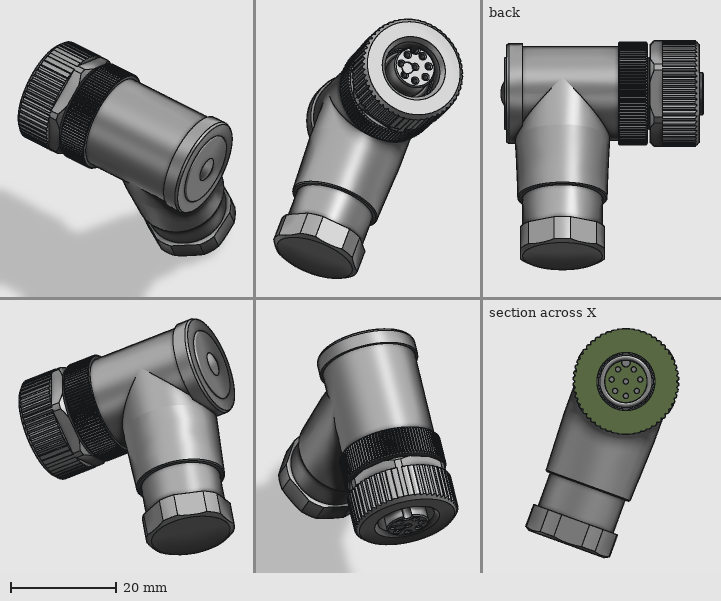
import cadquery as cq
import math


insert_radius = 4.05
insert_chamfer = 0.25

nut_start = 0.85
knurl_end = 7.8
nut_end = 10.2
nut_radius = 10.1
nut_chamfer = 0.8
nut_half_across_flats = 9.05
nut_bore_radius = 5.5
nut_bore_chamfer = 0.85
nut_bore_end = 6.1
seal_seat_radius = 5.25
seal_seat_depth = 0.45
nut_groove_count = 54
nut_groove_width = 0.75
plain_land_angle = 9.0

seal_ring_radius = 4.5
seal_thickness = 0.95

neck_lip_end = 10.45
neck_lip_radius = 6.85
neck_radius = 6.75

collar_start = 10.7
collar_end = 16.2
collar_radius = 9.8
collar_front_chamfer = 0.35
collar_rear_chamfer = 0.17
collar_groove_count = 100
collar_groove_width = 0.45

body_radius = 9.0
cap_start = 34.5
cap_end = 37.55
cap_radius = 9.5
cap_chamfer_length = 0.5
cap_chamfer_depth = 0.25
disc_end = 37.95
disc_radius = 6.9
disc_fillet = 0.3
button_radius = 2.3
button_end = 38.65

contact_circle_radius = 2.75
contact_pitch_angle = 49.0
contacts_on_circle = 7
contact_hole_radius = 0.5
contact_mouth_radius = 0.75
contact_hole_depth = 2.2
gate_mark_radius = 1.15
gate_mark_depth = 0.25
gate_mark_y = 1.5
gate_mark_z = -0.3
key_slot_radius = 0.8
key_slot_center = 3.6
key_slot_chamfer = 0.25

outlet_x = 26.9
outlet_tilt = 20.0
outlet_taper_start = 9.55
outlet_taper_end = 21.25
outlet_end_radius = 8.5
outlet_end_chamfer = 0.2
sleeve_radius = 7.6
clamp_start = 28.0
clamp_end = 32.95
clamp_radius = 8.5
clamp_half_across_flats = 8.05
clamp_chamfer_length = 0.52
clamp_chamfer_depth = 0.9


def turned_on_x(profile):
    """Solid of revolution about X from (x, radius) points; both ends are closed onto the axis."""
    first_x = profile[0][0]
    last_x = profile[-1][0]
    outline = [(first_x, 0)] + profile + [(last_x, 0)]
    return cq.Workplane("XY").polyline(outline).close().revolve(360, (0, 0, 0), (1, 0, 0))


def cylinder_on_x(start, end, radius, y=0, z=0):
    return cq.Workplane("YZ", origin=(start, 0, 0)).center(y, z).circle(radius).extrude(end - start)


def hexagon_on_x(start, end, half_across_flats):
    """Hexagonal bar along X with two corners on the Z axis."""
    across_corners = 2 * half_across_flats / math.cos(math.pi / 6)
    bar = cq.Workplane("YZ", origin=(start, 0, 0)).polygon(6, across_corners).extrude(end - start)
    return bar.rotate((0, 0, 0), (1, 0, 0), 90)


def groove_cutter(start, end, radius, width, angles, drafted=False):
    """Right-angled V grooves along X, at the given angles from +Z, in a cylinder of this radius.

    Drafted grooves can be pulled out of a mould along Y: near +Z and -Z, the wall on the side
    towards Y is no steeper than parallel to Y.
    """
    overshoot = 0.15
    rise = width / 2 + overshoot
    grooves = []
    for angle in angles:
        from_pole = min(angle % 180, 180 - angle % 180)
        gentle_slope = math.tan(math.radians(min(45, from_pole))) if drafted else 1
        depth = width / (1 + 1 / gentle_slope)
        gentle_side = -1 if angle % 180 < 90 else 1
        bottom_y = gentle_side * (depth - width / 2)
        bottom_z = radius - depth
        groove = (
            cq.Workplane("YZ", origin=(start, 0, 0))
            .moveTo(bottom_y, bottom_z)
            .lineTo(bottom_y - gentle_side * rise, bottom_z + rise)
            .lineTo(bottom_y + gentle_side * rise / gentle_slope, bottom_z + rise)
            .close()
            .extrude(end - start)
        )
        grooves.append(groove.rotate((0, 0, 0), (1, 0, 0), angle).val())
    return cq.Workplane("XY").newObject([cq.Compound.makeCompound(grooves)])


def coupling_nut():
    knurled = turned_on_x([
        (nut_start, nut_radius - nut_chamfer),
        (nut_start + nut_chamfer, nut_radius),
        (knurl_end, nut_radius),
    ])
    per_side = nut_groove_count // 2
    pitch = (180 - plain_land_angle) / (per_side - 1)
    angles = [
        side + plain_land_angle / 2 + index * pitch
        for side in (0, 180)
        for index in range(per_side)
    ]
    knurled = knurled.cut(
        groove_cutter(nut_start, knurl_end, nut_radius, nut_groove_width, angles, drafted=True)
    )

    hexagon = turned_on_x([
        (knurl_end, nut_radius),
        (nut_end - nut_chamfer, nut_radius),
        (nut_end, nut_radius - nut_chamfer),
    ]).intersect(hexagon_on_x(knurl_end, nut_end, nut_half_across_flats))

    bore = turned_on_x([
        (nut_start, nut_bore_radius + nut_bore_chamfer),
        (nut_start + nut_bore_chamfer, nut_bore_radius),
        (nut_bore_end - seal_seat_depth, nut_bore_radius),
        (nut_bore_end - seal_seat_depth, seal_seat_radius),
        (nut_bore_end, seal_seat_radius),
    ])
    return knurled.union(hexagon).cut(bore)


def collar():
    ring = turned_on_x([
        (collar_start, collar_radius - collar_front_chamfer),
        (collar_start + collar_front_chamfer, collar_radius),
        (collar_end - collar_rear_chamfer, collar_radius),
        (collar_end, collar_radius - collar_rear_chamfer),
    ])
    angles = [index * 360 / collar_groove_count for index in range(collar_groove_count)]
    return ring.cut(groove_cutter(collar_start, collar_end, collar_radius, collar_groove_width, angles))


def contact_hole(y, z):
    countersink = contact_mouth_radius - contact_hole_radius
    hole = turned_on_x([
        (0, contact_mouth_radius),
        (countersink, contact_hole_radius),
        (contact_hole_depth, contact_hole_radius),
    ])
    return hole.translate((0, y, z))


def slot_outline(radius):
    """U-shaped slot section on the mating face, open towards +Z."""
    return (
        cq.Workplane("YZ")
        .moveTo(-radius, nut_bore_radius)
        .lineTo(-radius, key_slot_center)
        .threePointArc((0, key_slot_center - radius), (radius, key_slot_center))
        .lineTo(radius, nut_bore_radius)
        .close()
    )


def key_slot():
    """Round-bottomed slot along the top of the insert, chamfered at the mating face."""
    mouth = slot_outline(key_slot_radius + key_slot_chamfer).extrude(key_slot_chamfer, taper=45)
    return slot_outline(key_slot_radius).extrude(nut_bore_end).union(mouth)


def contact_insert():
    insert = turned_on_x([
        (0, insert_radius - insert_chamfer),
        (insert_chamfer, insert_radius),
        (nut_bore_end, insert_radius),
    ])
    insert = insert.cut(key_slot()).cut(contact_hole(0, 0))
    for index in range(contacts_on_circle):
        offset = index - (contacts_on_circle - 1) / 2
        angle = math.radians(offset * contact_pitch_angle)
        insert = insert.cut(
            contact_hole(contact_circle_radius * math.sin(angle), -contact_circle_radius * math.cos(angle))
        )
    return insert.cut(cylinder_on_x(0, gate_mark_depth, gate_mark_radius, gate_mark_y, gate_mark_z))


def seal():
    return cq.Workplane("XY").newObject([
        cq.Solid.makeTorus(
            seal_ring_radius, seal_thickness / 2, cq.Vector(nut_bore_end, 0, 0), cq.Vector(1, 0, 0)
        )
    ])


def housing():
    """Neck, body and end cap."""
    return turned_on_x([
        (nut_bore_end, neck_lip_radius),
        (neck_lip_end, neck_lip_radius),
        (neck_lip_end, neck_radius),
        (collar_start, neck_radius),
        (collar_start, body_radius),
        (cap_start, body_radius),
        (cap_start, cap_radius),
        (cap_end - cap_chamfer_length, cap_radius),
        (cap_end, cap_radius - cap_chamfer_depth),
    ])


def closing_disc():
    return cylinder_on_x(cap_end, disc_end, disc_radius).faces(">X").edges().fillet(disc_fillet)


def button():
    """Shallow spherical dome in the middle of the closing disc."""
    height = button_end - disc_end
    sphere_radius = (button_radius ** 2 + height ** 2) / (2 * height)
    sphere_center = button_end - sphere_radius
    half_angle = math.asin(button_radius / sphere_radius) / 2
    arc_middle = (
        sphere_center + sphere_radius * math.cos(half_angle),
        sphere_radius * math.sin(half_angle),
    )
    return (
        cq.Workplane("XY")
        .moveTo(disc_end, 0)
        .lineTo(disc_end, button_radius)
        .threePointArc(arc_middle, (button_end, 0))
        .close()
        .revolve(360, (0, 0, 0), (1, 0, 0))
    )


def cable_outlet():
    """Tapered branch, sleeve and hexagonal clamp nut, turned along X and then swung into place."""
    branch = turned_on_x([
        (0, body_radius),
        (outlet_taper_start, body_radius),
        (outlet_taper_end - outlet_end_chamfer, outlet_end_radius),
        (outlet_taper_end, outlet_end_radius - outlet_end_chamfer),
        (outlet_taper_end, sleeve_radius),
        (clamp_start, sleeve_radius),
    ])
    clamp = turned_on_x([
        (clamp_start, clamp_radius),
        (clamp_end - clamp_chamfer_length, clamp_radius),
        (clamp_end, clamp_radius - clamp_chamfer_depth),
    ])
    hexagon = hexagon_on_x(clamp_start, clamp_end, clamp_half_across_flats)
    clamp = clamp.intersect(hexagon.rotate((0, 0, 0), (1, 0, 0), 90))
    return (
        branch.union(clamp)
        .rotate((0, 0, 0), (0, 1, 0), 90)
        .rotate((0, 0, 0), (1, 0, 0), outlet_tilt)
        .translate((outlet_x, 0, 0))
    )


result = (
    housing()
    .union(cable_outlet())
    .union(closing_disc())
    .union(button())
    .union(collar())
    .union(coupling_nut())
    .union(contact_insert())
    .union(seal())
)